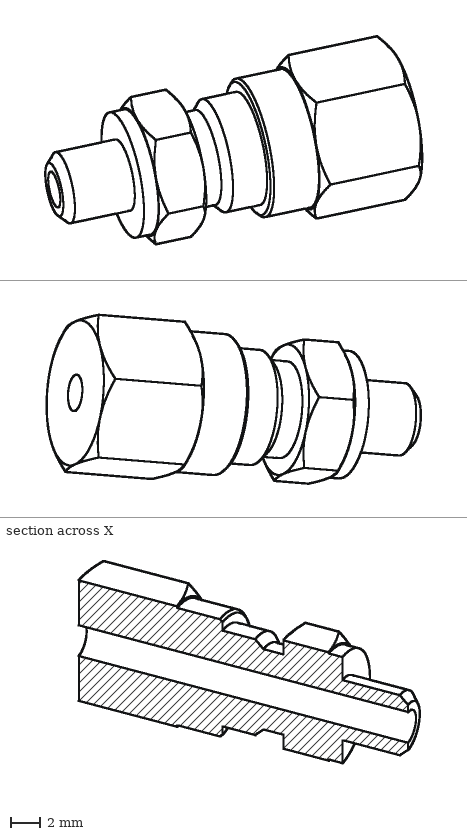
import cadquery as cq
import math

TUBE_END = 4.99
COLLAR_END = 6.05
SMALL_HEX_END = 9.5
NECK_END = 11.0
CONE_END = 11.63
SLEEVE_END = 14.1
SHOULDER_END = 17.57
LENGTH = 25.05

TUBE_DIAMETER = 5.0
BORE_DIAMETER = 2.5
COLLAR_DIAMETER = 8.82
SMALL_HEX_FLATS = 9.0
NECK_DIAMETER = 6.7
SLEEVE_DIAMETER = 7.97
SHOULDER_DIAMETER = 9.75
LARGE_HEX_FLATS = 10.0

TIP_CHAMFER = 0.63
SHOULDER_CHAMFER = 0.2
SMALL_HEX_CORNER_DROP = 0.45
LARGE_HEX_CORNER_DROP = 0.53


def turned_body():
    """Revolve the stepped body about the Y axis, from the tip to the large hex."""
    tube_radius = TUBE_DIAMETER / 2
    collar_radius = COLLAR_DIAMETER / 2
    neck_radius = NECK_DIAMETER / 2
    sleeve_radius = SLEEVE_DIAMETER / 2
    shoulder_radius = SHOULDER_DIAMETER / 2
    profile = [
        (0, 0),
        (tube_radius - TIP_CHAMFER, 0),
        (tube_radius, TIP_CHAMFER),
        (tube_radius, TUBE_END),
        (collar_radius, TUBE_END),
        (collar_radius, COLLAR_END),
        (neck_radius, COLLAR_END),
        (neck_radius, NECK_END),
        (sleeve_radius, CONE_END),
        (sleeve_radius, SLEEVE_END),
        (shoulder_radius - SHOULDER_CHAMFER, SLEEVE_END),
        (shoulder_radius, SLEEVE_END + SHOULDER_CHAMFER),
        (shoulder_radius, SHOULDER_END),
        (0, SHOULDER_END),
    ]
    return cq.Workplane("XY").polyline(profile).close().revolve(360, (0, 0), (0, 1))


def chamfered_hex(start, end, across_flats, corner_drop):
    """Hexagon with corners on the X axis, both ends turned to a cone."""
    flat_radius = across_flats / 2
    corner_radius = flat_radius / math.cos(math.pi / 6)
    prism = (
        cq.Workplane("XZ", origin=(0, start, 0))
        .polygon(6, 2 * corner_radius)
        .extrude(start - end)
    )
    envelope = [
        (0, start),
        (flat_radius, start),
        (corner_radius, start + corner_drop),
        (corner_radius, end - corner_drop),
        (flat_radius, end),
        (0, end),
    ]
    cone_ends = cq.Workplane("XY").polyline(envelope).close().revolve(360, (0, 0), (0, 1))
    return prism.intersect(cone_ends)


small_hex = chamfered_hex(COLLAR_END, SMALL_HEX_END, SMALL_HEX_FLATS, SMALL_HEX_CORNER_DROP)
large_hex = chamfered_hex(SHOULDER_END, LENGTH, LARGE_HEX_FLATS, LARGE_HEX_CORNER_DROP)

bore = cq.Workplane("XZ").circle(BORE_DIAMETER / 2).extrude(-LENGTH)

result = turned_body().union(small_hex).union(large_hex).cut(bore)